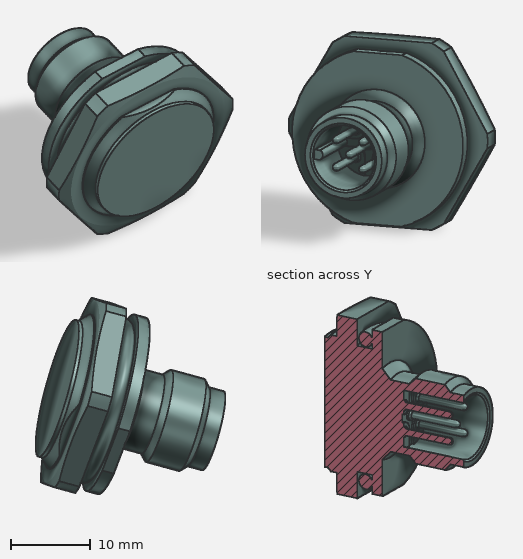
import cadquery as cq
import math

lead_end = 2.0
grip_start = 2.83
grip_end = 7.15
neck_start = 8.0
flare_start = 10.78
flange_front = 11.98
flange_back = 13.5
nut_front = 15.7
nut_bevel_start = 18.35
nut_back = 18.74
cone_start = 18.9
cone_end = 20.02
rear_face = 20.5

barrel_radius = 10.3 / 2
grip_radius = 12.0 / 2
flare_radius = barrel_radius + flange_front - flare_start

flange_radius = 11.48
flange_flat_height = 22.0

seal_wire_radius = 1.01
seal_radius = 9.7
seal_squeeze = 0.04
seal_seat_radius = 17.3 / 2

nut_across_flats = 24.0
nut_corner_radius = 13.35
nut_face_radius = 11.75

rear_radius = 17.8 / 2
collar_radius = rear_radius + cone_end - cone_start
collar_flat_height = 18.3

bore_radius = 8.3 / 2
mouth_radius = 4.43
mouth_bevel_depth = 0.15
socket_depth = 8.8
groove_width = 1.07
groove_depth = 0.27
pad_corner_radius = 1.17
key_width = 1.23
key_shoulder = 3.35
key_tip = 2.95
key_front = 0.6

pin_radius = 1.0 / 2
pin_offset = 1.75
pin_front = 1.73
pin_collar_radius = 1.5 / 2
pin_collar_length = 0.27


def disc(radius, start, end):
    """Cylinder on the X axis between two stations."""
    return cq.Workplane("YZ", origin=(start, 0, 0)).circle(radius).extrude(end - start)


def flat_block(start, end, height):
    """Block of the given height in Z, used to cut two parallel flats between two stations."""
    width = 4 * nut_corner_radius
    return cq.Workplane("YZ", origin=(start, 0, 0)).rect(width, height).extrude(end - start)


def revolve_profile(points):
    """Solid of revolution about X from (x, radius) points that start and end on the axis."""
    return cq.Workplane("XY").polyline(points).close().revolve(360, (0, 0, 0), (1, 0, 0))


def make_barrel():
    return revolve_profile([
        (0, 0),
        (0, barrel_radius),
        (lead_end, barrel_radius),
        (grip_start, grip_radius),
        (grip_end, grip_radius),
        (neck_start, barrel_radius),
        (flare_start, barrel_radius),
        (flange_front, flare_radius),
        (flange_front, 0),
    ])


def make_flange():
    blank = disc(flange_radius, flange_front, flange_back)
    return blank.intersect(flat_block(flange_front, flange_back, flange_flat_height))


def make_seal():
    center_x = flange_back + seal_wire_radius - seal_squeeze
    wire = cq.Workplane("XY").center(center_x, seal_radius).circle(seal_wire_radius)
    ring = wire.revolve(360, (-center_x, -seal_radius, 0), (0.27 - center_x, -seal_radius, 0))
    return ring.union(disc(seal_seat_radius, flange_back, nut_front))


def make_nut():
    corner_diameter = nut_across_flats / math.cos(math.pi / 6)
    hexagon = cq.Workplane("YZ", origin=(nut_front, 0, 0)).polygon(6, corner_diameter)
    blank = revolve_profile([
        (nut_front, 0),
        (nut_front, nut_corner_radius),
        (nut_bevel_start, nut_corner_radius),
        (nut_back, nut_face_radius),
        (nut_back, 0),
    ])
    return hexagon.extrude(nut_back - nut_front).intersect(blank)


def make_collar():
    turned = revolve_profile([
        (nut_back, 0),
        (nut_back, collar_radius),
        (cone_start, collar_radius),
        (cone_end, rear_radius),
        (rear_face, rear_radius),
        (rear_face, 0),
    ])
    return turned.intersect(flat_block(nut_back, rear_face, collar_flat_height))


def make_socket():
    """Void of the socket: beveled mouth, bore and the cross groove in its floor."""
    bore = revolve_profile([
        (0, 0),
        (0, mouth_radius),
        (mouth_bevel_depth, bore_radius),
        (socket_depth, bore_radius),
        (socket_depth, 0),
    ])
    floor = cq.Workplane("YZ", origin=(socket_depth, 0, 0))
    length = 2 * bore_radius
    cross = floor.rect(length, groove_width).extrude(groove_depth)
    cross = cross.union(floor.rect(groove_width, length).extrude(groove_depth))
    inner_corners = cq.selectors.BoxSelector(
        (socket_depth, -groove_width, -groove_width),
        (socket_depth + groove_depth, groove_width, groove_width),
    )
    cross = cross.edges("|X").edges(inner_corners).fillet(pad_corner_radius)
    return bore.union(cross.intersect(disc(bore_radius, socket_depth, socket_depth + groove_depth)))


def make_key():
    """Coding key on the +Y side of the bore, with a rounded crest."""
    half_width = key_width / 2
    root = (bore_radius + mouth_radius) / 2
    outline = (
        cq.Workplane("YZ", origin=(key_front, 0, 0))
        .moveTo(root, -half_width)
        .lineTo(key_shoulder, -half_width)
        .threePointArc((key_tip, 0), (key_shoulder, half_width))
        .lineTo(root, half_width)
        .close()
    )
    return outline.extrude(socket_depth + groove_depth - key_front)


def make_pin(y, z):
    """Contact pin with a domed tip and a tapered collar at the socket floor."""
    base = socket_depth + groove_depth
    dome_end = pin_front + pin_radius
    collar_start = socket_depth - pin_collar_length
    dome_middle = (dome_end - pin_radius * math.sqrt(0.5), pin_radius * math.sqrt(0.5))
    profile = (
        cq.Workplane("XY")
        .moveTo(pin_front, 0)
        .threePointArc(dome_middle, (dome_end, pin_radius))
        .lineTo(collar_start, pin_radius)
        .lineTo(socket_depth, pin_collar_radius)
        .lineTo(base, pin_collar_radius)
        .lineTo(base, 0)
        .close()
    )
    return profile.revolve(360, (0, 0, 0), (1, 0, 0)).translate((0, y, z))


result = make_barrel().union(make_flange()).union(make_seal()).union(make_nut()).union(make_collar())
result = result.cut(make_socket()).union(make_key())
result = result.union(make_pin(0, 0))
for y_side in (-1, 1):
    for z_side in (-1, 1):
        result = result.union(make_pin(y_side * pin_offset, z_side * pin_offset))